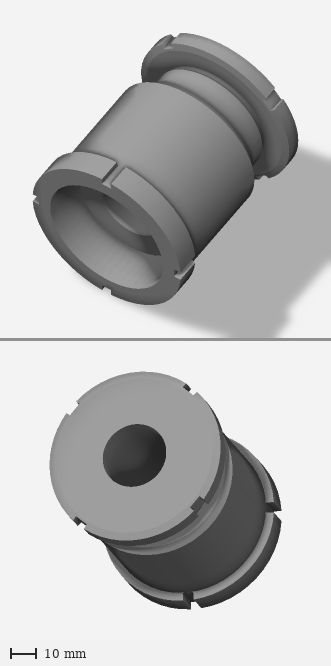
import cadquery as cq
import math

total_length = 82.8
flange_radius = 35.0
rim_chamfer_axial = 0.75
rim_chamfer_radius = 31.95
slot_count = 4

sleeve_length = 58.3
sleeve_flange_thickness = 11.0
barrel_radius = rim_chamfer_radius
barrel_chamfer = 2.3
counterbore_radius = 26.65
counterbore_depth = 20.0
sleeve_slot_width = 4.3
sleeve_slot_floor = barrel_radius
sleeve_slot_angle = 0.0

neck_radius = 25.0
spindle_front = 16.7
spindle_flange_thickness = 7.9
spindle_flange_front = total_length - spindle_flange_thickness
groove_edge_radius = 23.75
neck_chamfer = neck_radius - groove_edge_radius
groove_width = 1.9
groove_fillet = 0.7
groove_blend_radius = 1.0
groove_radius = groove_edge_radius - groove_blend_radius * (1 - math.cos(math.radians(45)))
nose_chamfer = 1.0
nose_edge_fillet = 0.25
bore_radius = 13.0
bore_chamfer = 0.6
spindle_slot_width = 5.9
spindle_slot_floor = flange_radius - 2.15
spindle_slot_angle = 48.4


def revolve_about_y(outline):
    """Revolve a closed (radius, Y) outline once around the Y axis."""
    return outline.close().revolve(360, (0, 0, 0), (0, 1, 0))


def cut_rim_slots(body, y_start, length, width, floor_radius, first_angle):
    """Cut equally spaced spanner slots through a flange; angles run about Y, starting from +Z."""
    cutter_height = flange_radius
    cutter = cq.Workplane("XY").box(width, length, cutter_height, centered=(True, False, False))
    cutter = cutter.translate((0, y_start, floor_radius))
    for index in range(slot_count):
        angle = first_angle + index * 360 / slot_count
        body = body.cut(cutter.rotate((0, 0, 0), (0, 1, 0), angle))
    return body


def make_sleeve():
    outline = (
        cq.Workplane("XY")
        .moveTo(counterbore_radius, 0)
        .lineTo(flange_radius, 0)
        .lineTo(flange_radius, sleeve_flange_thickness - rim_chamfer_axial)
        .lineTo(barrel_radius, sleeve_flange_thickness)
        .lineTo(barrel_radius, sleeve_length - barrel_chamfer)
        .lineTo(barrel_radius - barrel_chamfer, sleeve_length)
        .lineTo(neck_radius, sleeve_length)
        .lineTo(neck_radius, counterbore_depth)
        .lineTo(counterbore_radius, counterbore_depth)
    )
    return cut_rim_slots(
        revolve_about_y(outline),
        0,
        sleeve_flange_thickness,
        sleeve_slot_width,
        sleeve_slot_floor,
        sleeve_slot_angle,
    )


def make_spindle():
    nose_radius = neck_radius - nose_chamfer
    groove_front = spindle_flange_front - groove_width
    blend_length = groove_blend_radius * math.sin(math.radians(45))
    outline = (
        cq.Workplane("XY")
        .moveTo(bore_radius, spindle_front + bore_chamfer)
        .lineTo(bore_radius + bore_chamfer, spindle_front)
        .lineTo(nose_radius - nose_edge_fillet, spindle_front)
        .radiusArc((nose_radius, spindle_front + nose_edge_fillet), -nose_edge_fillet)
        .lineTo(neck_radius, spindle_front + nose_edge_fillet + nose_chamfer)
        .lineTo(neck_radius, groove_front - neck_chamfer)
        .lineTo(groove_edge_radius, groove_front)
        .radiusArc((groove_radius, groove_front + blend_length), groove_blend_radius)
        .lineTo(groove_radius, spindle_flange_front - groove_fillet)
        .radiusArc((groove_radius + groove_fillet, spindle_flange_front), groove_fillet)
        .lineTo(rim_chamfer_radius, spindle_flange_front)
        .lineTo(flange_radius, spindle_flange_front + rim_chamfer_axial)
        .lineTo(flange_radius, total_length - rim_chamfer_axial)
        .lineTo(rim_chamfer_radius, total_length)
        .lineTo(bore_radius, total_length)
    )
    return cut_rim_slots(
        revolve_about_y(outline),
        spindle_flange_front,
        spindle_flange_thickness,
        spindle_slot_width,
        spindle_slot_floor,
        spindle_slot_angle,
    )


sleeve = make_sleeve()
spindle = make_spindle()

result = cq.Compound.makeCompound([sleeve.val(), spindle.val()])